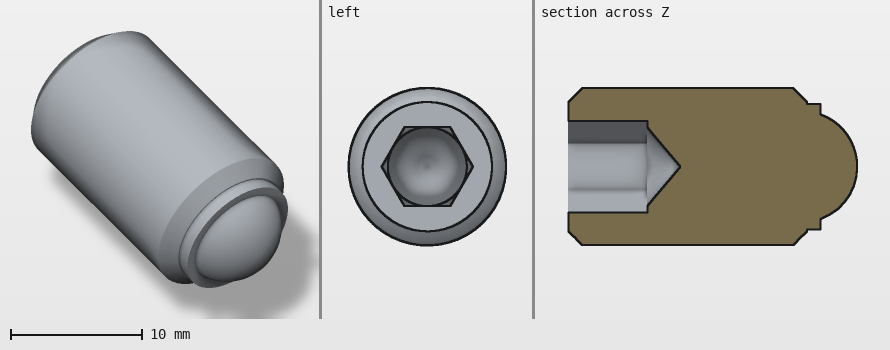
import cadquery as cq
import math

total_length = 22.0
body_diameter = 12.0
body_length = 18.2
chamfer = 1.08

collar_diameter = 9.6
collar_length = 1.01
ball_radius = 4.25

socket_flats = 6.0
socket_depth = 6.0
drill_point_angle = 100.0


def make_outer_body():
    body_radius = body_diameter / 2
    end_radius = body_radius - chamfer
    collar_radius = collar_diameter / 2
    collar_end = body_length + collar_length
    ball_center = total_length - ball_radius

    ball_start_angle = math.acos((collar_end - ball_center) / ball_radius)
    ball_start = (collar_end, ball_radius * math.sin(ball_start_angle))
    ball_middle = (
        ball_center + ball_radius * math.cos(ball_start_angle / 2),
        ball_radius * math.sin(ball_start_angle / 2),
    )

    profile = (
        cq.Workplane("XY")
        .moveTo(0, 0)
        .lineTo(0, end_radius)
        .lineTo(chamfer, body_radius)
        .lineTo(body_length - chamfer, body_radius)
        .lineTo(body_length, end_radius)
        .lineTo(body_length, collar_radius)
        .lineTo(collar_end, collar_radius)
        .lineTo(*ball_start)
        .threePointArc(ball_middle, (total_length, 0))
        .close()
    )
    return profile.revolve(360, (0, 0, 0), (1, 0, 0))


def make_hexagon():
    across_corners = socket_flats / math.cos(math.pi / 6)
    return cq.Workplane("YZ").polygon(6, across_corners).extrude(socket_depth)


def make_drill_point():
    radius = socket_flats / 2
    tip = socket_depth + radius / math.tan(math.radians(drill_point_angle / 2))
    profile = cq.Workplane("XZ").polyline([(socket_depth, 0), (socket_depth, radius), (tip, 0)]).close()
    return profile.revolve(360, (0, 0, 0), (1, 0, 0))


result = make_outer_body().cut(make_hexagon()).cut(make_drill_point())